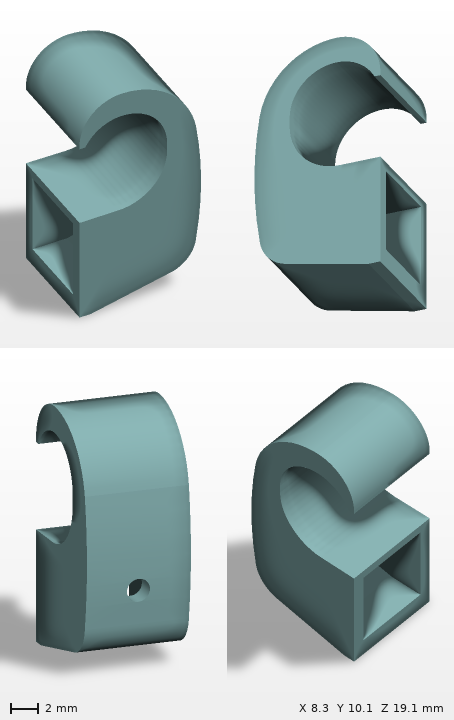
import cadquery as cq
import math

width = 8.3
height = 19.1
depth = 10.1
side_draft = 0.5

tip_bottom = 15.28
tip_thickness = 0.48
nose_radius = 3.5
crown_y = nose_radius
shoulder_radius = 6.3
back_end_y = 9.68
back_top_z = 13.95
back_bottom_z = 3.75
back_mid_z = (back_top_z + back_bottom_z) / 2

seat_z = 8.6
throat_y = 7.28
throat_top_z = 17.08
upper_radius = throat_y - crown_y
lower_radius = 4.0
lip_radius = 3.44

ramp_start_y = 0.95
ramp_end_y = 7.4
ramp_end_z = 1.38
heel_radius = 2.67
ramp_slope = ramp_end_z / (ramp_end_y - ramp_start_y)

pocket_width = 6.26
pocket_floor = 1.45
pocket_ceiling = 7.89
pocket_ramp_y = 2.83
pocket_back = 8.37
pocket_fillet = 0.95
hole_diameter = 1.8
hole_z = 6.42


def hook_profile():
    """Closed side outline in the YZ plane."""
    throat_tangent_z = throat_top_z - upper_radius
    diagonal = math.sqrt(0.5)
    return (
        cq.Workplane("YZ")
        .lineTo(ramp_start_y, 0)
        .lineTo(ramp_end_y, ramp_end_z)
        .radiusArc((back_end_y, back_bottom_z), -heel_radius)
        .threePointArc((depth, back_mid_z), (back_end_y, back_top_z))
        .radiusArc((crown_y, height), -shoulder_radius)
        .radiusArc((0, height - nose_radius), -nose_radius)
        .lineTo(0, tip_bottom)
        .lineTo(tip_thickness, tip_bottom)
        .radiusArc((crown_y, throat_top_z), lip_radius)
        .threePointArc(
            (crown_y + upper_radius * diagonal, throat_tangent_z + upper_radius * diagonal),
            (throat_y, throat_tangent_z),
        )
        .lineTo(throat_y, seat_z + lower_radius)
        .radiusArc((throat_y - lower_radius, seat_z), lower_radius)
        .lineTo(0, seat_z)
        .close()
    )


def drafted_envelope():
    """Block whose side faces narrow evenly toward the back."""
    front_half = width / 2
    back_half = front_half - depth * math.tan(math.radians(side_draft))
    return (
        cq.Workplane("XY")
        .polyline([(-front_half, 0), (front_half, 0), (back_half, depth), (-back_half, depth)])
        .close()
        .extrude(height)
    )


def pocket():
    """Front pocket with a rising floor blended into its back wall."""
    floor_back_z = pocket_floor + ramp_slope * (pocket_back - pocket_ramp_y)
    return (
        cq.Workplane("YZ")
        .moveTo(0, pocket_floor)
        .lineTo(pocket_ramp_y, pocket_floor)
        .lineTo(pocket_back, floor_back_z)
        .lineTo(pocket_back, pocket_ceiling)
        .lineTo(0, pocket_ceiling)
        .close()
        .extrude(pocket_width / 2, both=True)
        .edges(cq.selectors.NearestToPointSelector((0, pocket_back, floor_back_z)))
        .fillet(pocket_fillet)
    )


def back_hole():
    """Round hole from the pocket out through the back wall."""
    return (
        cq.Workplane("XZ")
        .center(0, hole_z)
        .circle(hole_diameter / 2)
        .extrude(-depth)
    )


body = hook_profile().extrude(width / 2, both=True).intersect(drafted_envelope())
result = body.cut(pocket()).cut(back_hole())